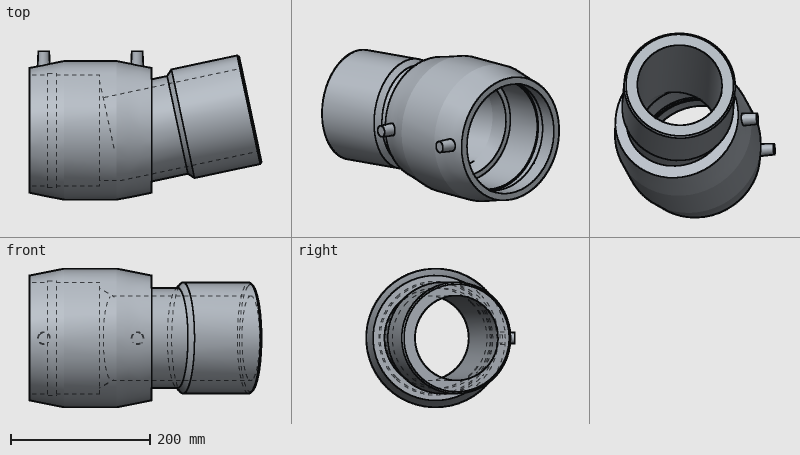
import cadquery as cq
import math

body_length = 175.8
taper_length = 50.0
barrel_radius = 100.0
body_end_radius = 90.0
socket_radius = 160.0 / 2
socket_depth = 100.3

groove_start = 26.0
groove_width = 12.5
groove_depth = 2.0

bend_angle = 12.0
spigot_length = 145.5
spigot_radius = socket_radius
neck_radius = 144.0 / 2
neck_end = 38.0
shoulder_end = 46.0
end_chamfer = 2.7
bore_radius = 122.0 / 2
bore_start = -58.5
root_start = -16.7

pin_inset = 20.7
pin_tip_y = 114.0
pin_root_y = 87.0
pin_tip_radius = 8.0
pin_root_radius = 9.5

bend = math.radians(bend_angle)
spigot_direction = cq.Vector(math.cos(bend), math.sin(bend), 0)
pivot = cq.Vector(body_length, 0, 0)


def turned(points):
    """Revolve a closed (x, radius) outline about the X axis."""
    return cq.Workplane("XY").polyline(points).close().revolve(360, (0, 0, 0), (1, 0, 0))


def spigot_plane(distance):
    """Plane square to the spigot axis, at a signed distance from the pivot."""
    return cq.Plane(origin=pivot + spigot_direction * distance, xDir=(0, 0, 1), normal=spigot_direction)


def make_body():
    return turned([
        (0, 0),
        (0, body_end_radius),
        (taper_length, barrel_radius),
        (body_length - taper_length, barrel_radius),
        (body_length, body_end_radius),
        (body_length, 0),
    ])


def make_spigot():
    straight = turned([
        (root_start, 0),
        (root_start, neck_radius),
        (neck_end, neck_radius),
        (shoulder_end, spigot_radius),
        (spigot_length - end_chamfer, spigot_radius),
        (spigot_length, spigot_radius - end_chamfer),
        (spigot_length, 0),
    ])
    return straight.rotate((0, 0, 0), (0, 0, 1), bend_angle).translate(pivot)


def make_pin(x):
    pin = cq.Solid.makeCone(
        pin_root_radius,
        pin_tip_radius,
        pin_tip_y - pin_root_y,
        cq.Vector(x, pin_root_y, 0),
        cq.Vector(0, 1, 0),
    )
    return cq.Workplane(obj=pin)


def make_socket():
    groove_end = groove_start + groove_width
    groove_radius = socket_radius + groove_depth
    return turned([
        (0, 0),
        (0, socket_radius),
        (groove_start, socket_radius),
        (groove_start, groove_radius),
        (groove_end, groove_radius),
        (groove_end, socket_radius),
        (socket_depth, socket_radius),
        (socket_depth, 0),
    ])


def make_throat():
    """Smooth passage from the socket floor to the start of the tilted bore."""
    mouth_plane = cq.Plane(origin=(socket_depth, 0, 0), xDir=(0, 0, 1), normal=(1, 0, 0))
    mouth = cq.Workplane(mouth_plane).circle(neck_radius).wires().val()
    bore_edge = cq.Workplane(spigot_plane(bore_start)).circle(bore_radius).wires().val()
    return cq.Workplane(obj=cq.Solid.makeLoft([mouth, bore_edge], True))


def make_bore():
    return cq.Workplane(spigot_plane(bore_start)).circle(bore_radius).extrude(spigot_length - bore_start)


result = make_body().union(make_spigot())
for pin_x in (pin_inset, body_length - pin_inset):
    result = result.union(make_pin(pin_x))
result = result.cut(make_socket()).cut(make_throat()).cut(make_bore())